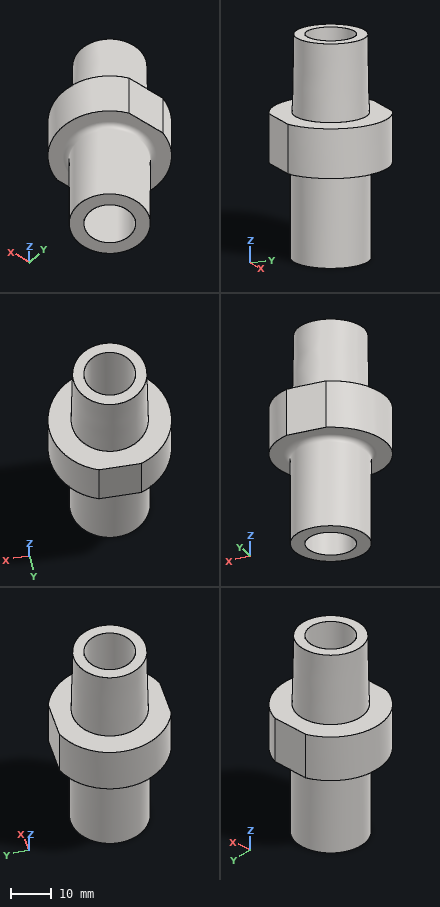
import cadquery as cq
import math

total_length = 57.15
spigot_length = 20.0
collar_height = 12.7
collar_top = total_length - spigot_length
collar_bottom = collar_top - collar_height

collar_diameter = 30.48
across_flats = 28.57
stem_diameter = 20.0
bore_diameter = 12.7
spigot_root_diameter = 19.05

spigot_taper_angle = 1.0
spigot_tip_diameter = spigot_root_diameter - 2 * spigot_length * math.tan(math.radians(spigot_taper_angle))

root_fillet = 1.5


def make_stem():
    """Lower stem, running up to the underside of the collar."""
    return cq.Workplane("XY").circle(stem_diameter / 2).extrude(collar_bottom)


def make_collar():
    """Round collar with two parallel wrench flats facing -Y and +Y."""
    disc = cq.Workplane("XY", origin=(0, 0, collar_bottom)).circle(collar_diameter / 2).extrude(collar_height)
    flats = (
        cq.Workplane("XY", origin=(0, 0, collar_bottom))
        .rect(collar_diameter, across_flats)
        .extrude(collar_height)
    )
    return disc.intersect(flats)


def make_spigot():
    """Upper spigot, slightly tapered over its whole length."""
    return (
        cq.Workplane("XZ")
        .moveTo(0, collar_top)
        .lineTo(spigot_root_diameter / 2, collar_top)
        .lineTo(spigot_tip_diameter / 2, total_length)
        .lineTo(0, total_length)
        .close()
        .revolve(360, (0, 0, 0), (0, 1, 0))
    )


def make_root_fillet():
    """Concave ring blending the stem into the underside of the collar."""
    stem_radius = stem_diameter / 2
    return (
        cq.Workplane("XZ")
        .moveTo(0, collar_bottom - root_fillet)
        .lineTo(stem_radius, collar_bottom - root_fillet)
        .radiusArc((stem_radius + root_fillet, collar_bottom), root_fillet)
        .lineTo(0, collar_bottom)
        .close()
        .revolve(360, (0, 0, 0), (0, 1, 0))
    )


def make_bore():
    """Through bore along the whole part."""
    return cq.Workplane("XY").circle(bore_diameter / 2).extrude(total_length)


body = make_stem().union(make_root_fillet()).union(make_collar()).union(make_spigot())
result = body.cut(make_bore())